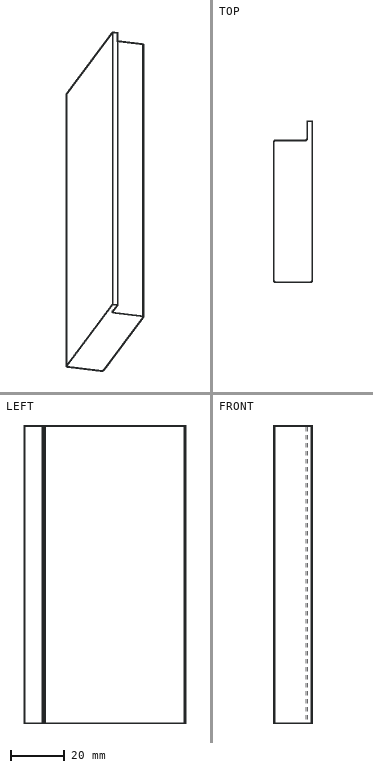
import cadquery as cq

width = 14.5
depth = 60.4
height = 111.5

flange_thickness = 2.0
flange_length = 7.27

chamfer_size = 0.5

x_min = -width / 2
x_max = width / 2
y_front = -depth / 2
y_back = depth / 2
x_flange = x_max - flange_thickness
y_step = y_back - flange_length


def make_profile_prism():
    """Extrude the L-shaped cross-section over the full height."""
    outline = [
        (x_min, y_front),
        (x_max, y_front),
        (x_max, y_back),
        (x_flange, y_back),
        (x_flange, y_step),
        (x_min, y_step),
    ]
    return (
        cq.Workplane("XY")
        .workplane(offset=-height / 2)
        .polyline(outline)
        .close()
        .extrude(height)
    )


def chamfer_vertical_edges(body):
    """Chamfer the block corners and the flange root; the flange tip stays sharp."""
    return body.edges("|Z").edges("not(>Y)").chamfer(chamfer_size)


result = chamfer_vertical_edges(make_profile_prism())